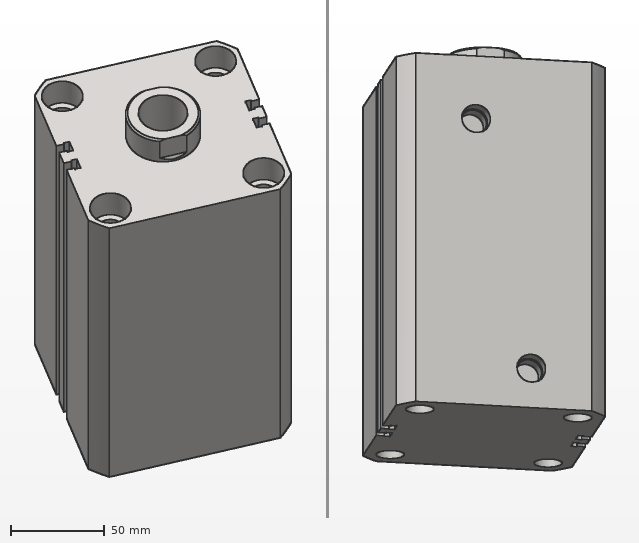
import cadquery as cq
import math

total_height = 212.0
side = 114.0
rod_projection = 17.0
housing_height = total_height - rod_projection
corner_diameter = 149.0

mount_offset = 43.0
mount_diameter = 15.0
mount_head_diameter = 22.0
mount_head_depth = 17.0

slot_spacing = 13.4
slot_neck_width = 5.0
slot_neck_depth = 4.5
slot_head_width = 6.8
slot_depth = 7.6

port_offset = 15.0
port_diameter = 15.5
port_step_depth = 8.0
port_inner_diameter = 14.2
port_depth = 17.0
lower_port_z = 22.0
upper_port_drop = 35.0
ports = [
    (-port_offset, lower_port_z),
    (port_offset, housing_height - upper_port_drop),
]

rod_diameter = 40.0
rod_insertion = 63.5
rod_chamfer = 1.0
rod_length = rod_insertion + rod_projection
rod_base_z = housing_height - rod_insertion
flat_width = 37.0
flat_height = 14.0
rod_hole_diameter = 26.3
rod_hole_depth = 36.0
drill_tip_angle = 120.0


def make_slot(x):
    """T-slot cutter running the full housing height in the +Y face."""
    neck = cq.Workplane("XY").box(
        slot_neck_width, slot_depth, housing_height, centered=(True, False, False)
    )
    head = cq.Workplane("XY").box(
        slot_head_width, slot_depth - slot_neck_depth, housing_height, centered=(True, False, False)
    )
    return neck.union(head).translate((x, side / 2 - slot_depth, 0))


def make_port(y, z):
    """Stepped round cutter going into the -X face."""
    face = cq.Workplane("YZ", origin=(-side / 2, y, z))
    mouth = face.circle(port_diameter / 2).extrude(port_step_depth)
    return mouth.union(face.circle(port_inner_diameter / 2).extrude(port_depth))


def make_housing():
    body = cq.Workplane("XY").rect(side, side).extrude(housing_height)
    corner_round = cq.Workplane("XY").circle(corner_diameter / 2).extrude(housing_height)
    body = body.intersect(corner_round)

    body = (
        body.faces(">Z").workplane(origin=(0, 0, housing_height))
        .rect(2 * mount_offset, 2 * mount_offset, forConstruction=True)
        .vertices()
        .cboreHole(mount_diameter, mount_head_diameter, mount_head_depth)
    )

    for x in (-slot_spacing / 2, slot_spacing / 2):
        slot = make_slot(x)
        body = body.cut(slot).cut(slot.mirror("XZ"))

    for y, z in ports:
        body = body.cut(make_port(y, z))

    bore = cq.Workplane("XY", origin=(0, 0, rod_base_z)).circle(rod_diameter / 2).extrude(rod_insertion)
    return body.cut(bore)


def make_flat_cutter():
    """Cutter for the +X wrench flat, with a 45 degree run-out at its lower end."""
    flat_x = flat_width / 2
    outer_x = rod_diameter
    flat_z = total_height - flat_height
    return (
        cq.Workplane("XZ")
        .moveTo(flat_x, total_height)
        .lineTo(flat_x, flat_z)
        .lineTo(outer_x, flat_z - (outer_x - flat_x))
        .lineTo(outer_x, total_height)
        .close()
        .extrude(rod_diameter / 2, both=True)
    )


def make_rod_hole():
    """Blind axial hole in the rod end, with a conical drill tip."""
    radius = rod_hole_diameter / 2
    shoulder_z = total_height - rod_hole_depth
    tip_z = shoulder_z - radius / math.tan(math.radians(drill_tip_angle / 2))
    return (
        cq.Workplane("XZ")
        .moveTo(0, total_height)
        .lineTo(radius, total_height)
        .lineTo(radius, shoulder_z)
        .lineTo(0, tip_z)
        .close()
        .revolve(360, (0, 0, 0), (0, 1, 0))
    )


def make_rod():
    body = cq.Workplane("XY", origin=(0, 0, rod_base_z)).circle(rod_diameter / 2).extrude(rod_length)
    body = body.faces(">Z").edges().chamfer(rod_chamfer)
    flat = make_flat_cutter()
    return body.cut(flat).cut(flat.mirror("YZ")).cut(make_rod_hole())


housing = make_housing()
rod = make_rod()

result = cq.Compound.makeCompound([housing.val(), rod.val()])